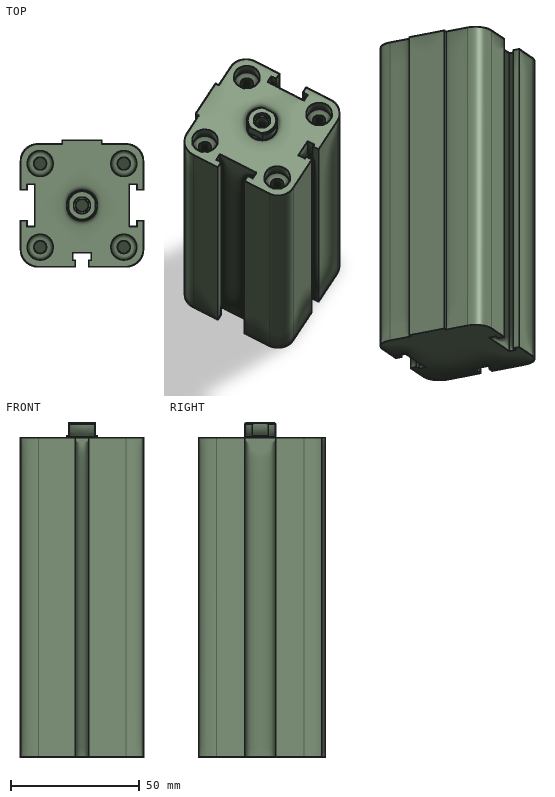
import cadquery as cq

width = 48.0
total_height = 130.5
rod_projection = 5.7
housing_height = total_height - rod_projection
corner_radius = 6.9
half_width = width / 2

rib_width = 15.5
rib_height = 1.5

slot_depth = 5.5
slot_lip = 2.6
side_slot_opening = 12.0
side_slot_width = 16.5
front_slot_opening = 5.2
front_slot_width = 7.2

screw_spacing = 32.6
screw_hole_diameter = 5.0
screw_hole_depth = 14.4
counterbore_diameter = 10.0
counterbore_depth = 5.5

shaft_diameter = 11.7
shaft_projection = 0.3
head_diameter = 12.0
rod_seat_depth = 14.4
head_flats_width = 10.2
flats_clearance = 0.8
head_chamfer = 0.5
rod_hole_diameter = 5.0
rod_hole_depth = 10.5
rod_counterbore_diameter = 6.5
rod_counterbore_depth = 2.0


def t_slot(opening, inner_width, angle):
    """T-slot cutter entering the -Y face, turned about Z by the given angle."""
    mouth = cq.Workplane("XY").box(opening, slot_depth, housing_height, centered=(True, False, False))
    undercut = (
        cq.Workplane("XY")
        .box(inner_width, slot_depth - slot_lip, housing_height, centered=(True, False, False))
        .translate((0, slot_lip, 0))
    )
    slot = mouth.union(undercut).translate((0, -half_width, 0))
    return slot.rotate((0, 0, 0), (0, 0, 1), angle)


def make_housing():
    body = cq.Workplane("XY").rect(width, width).extrude(housing_height).edges("|Z").fillet(corner_radius)
    rib = cq.Workplane("XY").box(
        rib_width, half_width + rib_height, housing_height, centered=(True, False, False)
    )
    body = body.union(rib)

    body = body.cut(t_slot(front_slot_opening, front_slot_width, 0))
    for angle in (90, -90):
        body = body.cut(t_slot(side_slot_opening, side_slot_width, angle))

    body = (
        body.faces(">Z").workplane(origin=(0, 0, housing_height))
        .rect(screw_spacing, screw_spacing, forConstruction=True)
        .vertices()
        .cboreHole(screw_hole_diameter, counterbore_diameter, counterbore_depth, screw_hole_depth)
    )

    rod_seat = (
        cq.Workplane("XY", origin=(0, 0, housing_height - rod_seat_depth))
        .circle(shaft_diameter / 2)
        .extrude(rod_seat_depth)
    )
    return body.cut(rod_seat)


def make_rod():
    shaft = (
        cq.Workplane("XY", origin=(0, 0, housing_height - rod_seat_depth))
        .circle(shaft_diameter / 2)
        .extrude(rod_seat_depth + shaft_projection)
    )
    head = (
        cq.Workplane("XY", origin=(0, 0, housing_height + shaft_projection))
        .circle(head_diameter / 2)
        .extrude(rod_projection - shaft_projection)
        .faces(">Z").chamfer(head_chamfer)
    )
    rod = shaft.union(head)

    flats_bottom = housing_height + flats_clearance
    flats_height = total_height - flats_bottom
    cutter_size = 2 * head_diameter
    flats_cutter = (
        cq.Workplane("XY", origin=(0, 0, flats_bottom))
        .rect(cutter_size, cutter_size)
        .rect(head_flats_width, cutter_size)
        .extrude(flats_height)
    )
    rod = rod.cut(flats_cutter)

    return (
        rod.faces(">Z").workplane(origin=(0, 0, total_height))
        .cboreHole(rod_hole_diameter, rod_counterbore_diameter, rod_counterbore_depth, rod_hole_depth)
    )


housing = make_housing()
rod = make_rod()
result = cq.Compound.makeCompound([housing.val(), rod.val()])